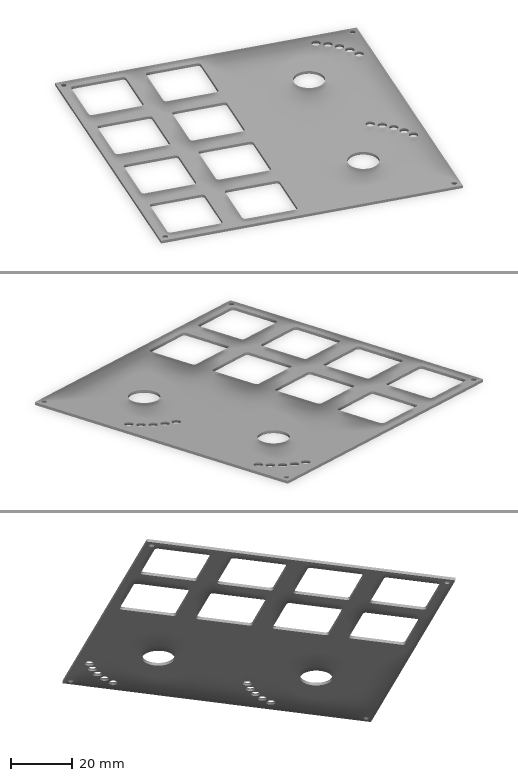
import cadquery as cq

panel_side = 104.4
panel_thickness = 1.0

screw_diameter = 1.8
screw_edge_distance = 2.2

knob_diameter = 10.5
knob_x = 26.7
knob_y = 26.7

indicator_diameter = 3.0
indicator_arc_radius = 22.9
indicator_count = 5
indicator_step_angle = 10.0
indicator_middle_angle = 135.0

window_side = 19.0
window_corner_radius = 1.0
window_pitch = 25.9
window_columns = 4
window_rows = 2
window_grid_center_y = -window_pitch


def hole_cutters(locations, diameter):
    """Round through-hole cutters at the locations of a workplane."""
    return locations.circle(diameter / 2).extrude(panel_thickness)


def screw_cutters():
    spacing = panel_side - 2 * screw_edge_distance
    corners = cq.Workplane("XY").rect(spacing, spacing, forConstruction=True).vertices()
    return hole_cutters(corners, screw_diameter)


def knob_cutter(center_x):
    return hole_cutters(cq.Workplane("XY").center(center_x, knob_y), knob_diameter)


def indicator_cutters(center_x):
    """Holes on an arc centred on the knob, spread evenly about the middle angle."""
    first_angle = indicator_middle_angle - indicator_step_angle * (indicator_count - 1) / 2
    arc = (
        cq.Workplane("XY")
        .center(center_x, knob_y)
        .polarArray(indicator_arc_radius, first_angle, indicator_step_angle, indicator_count, fill=False)
    )
    return hole_cutters(arc, indicator_diameter)


def window_cutters():
    return (
        cq.Workplane("XY")
        .center(0, window_grid_center_y)
        .rarray(window_pitch, window_pitch, window_columns, window_rows)
        .rect(window_side, window_side)
        .extrude(panel_thickness)
        .edges("|Z")
        .fillet(window_corner_radius)
    )


panel = cq.Workplane("XY").box(panel_side, panel_side, panel_thickness, centered=(True, True, False))
panel = panel.cut(screw_cutters()).cut(window_cutters())
for knob_center_x in (-knob_x, knob_x):
    panel = panel.cut(knob_cutter(knob_center_x))
    panel = panel.cut(indicator_cutters(knob_center_x))

result = panel